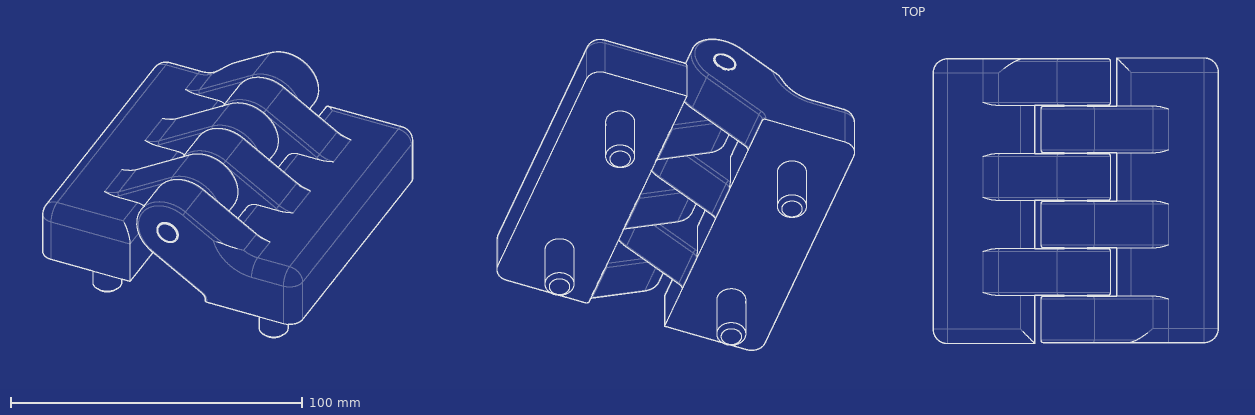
import cadquery as cq
import math

LEAF_LENGTH = 97.9
LEAF_OUTER_X = 49.0
LEAF_INNER_X = 14.0
LEAF_HEIGHT = 21.0
LEAF_ROUND = 5.0

KNUCKLES_PER_LEAF = 3
KNUCKLE_GAP = 0.3
BAY_LENGTH = LEAF_LENGTH / (2 * KNUCKLES_PER_LEAF)
KNUCKLE_LENGTH = BAY_LENGTH - KNUCKLE_GAP
KNUCKLE_RADIUS = 12.0
KNUCKLE_EDGE_ROUND = 1.0
AXIS_HEIGHT = 25.0

ARM_SLOPE = math.radians(32.0)
ARM_TOP_BLEND = 10.0
ARM_UNDER_BLEND = 2.5

PIN_LENGTH = LEAF_LENGTH - KNUCKLE_GAP
PIN_DIAMETER = 8.0
PIN_CHAMFER = 0.4

STUD_DIAMETER = 10.0
STUD_LENGTH = 20.0
STUD_CHAMFER = 1.5
STUD_X = 31.5
STUD_SPACING = 60.2

LEAF_MIDDLE_Y = KNUCKLE_GAP / 2
LEAF_START_Y = LEAF_MIDDLE_Y - LEAF_LENGTH / 2

SLOPE_SIN = math.sin(ARM_SLOPE)
SLOPE_COS = math.cos(ARM_SLOPE)
SLOPE_MEETS_TOP_X = (KNUCKLE_RADIUS + (AXIS_HEIGHT - LEAF_HEIGHT) * SLOPE_COS) / SLOPE_SIN
BLEND_CENTRE_X = SLOPE_MEETS_TOP_X + ARM_TOP_BLEND * math.tan(ARM_SLOPE / 2)
BLEND_CENTRE_Z = LEAF_HEIGHT + ARM_TOP_BLEND
UNDERSIDE_CORNER_Z = AXIS_HEIGHT - (KNUCKLE_RADIUS + LEAF_INNER_X * SLOPE_SIN) / SLOPE_COS


def box_between(x0, x1, y0, y1, z0, z1):
    return cq.Workplane("XY").box(x1 - x0, y1 - y0, z1 - z0, centered=False).translate((x0, y0, z0))


def make_plate():
    """Plate with rounded outer corners and top edges; its first corner is left free for the end arm."""
    plate = box_between(
        LEAF_INNER_X, LEAF_OUTER_X,
        LEAF_START_Y, LEAF_START_Y + LEAF_LENGTH,
        0, LEAF_HEIGHT,
    )
    plate = plate.edges("|Z and >X").fillet(LEAF_ROUND).faces(">Z").edges().fillet(LEAF_ROUND)
    corner_room = box_between(
        LEAF_INNER_X, LEAF_INNER_X + LEAF_ROUND,
        LEAF_START_Y, LEAF_START_Y + KNUCKLE_LENGTH / 2,
        0, LEAF_HEIGHT,
    )
    return plate.cut(corner_room)


def make_arm(start_y):
    """Knuckle with its sloping arm, running into the plate as far as the end of the top blend."""
    upper_tangent = (KNUCKLE_RADIUS * SLOPE_SIN, AXIS_HEIGHT + KNUCKLE_RADIUS * SLOPE_COS)
    lower_tangent = (-KNUCKLE_RADIUS * SLOPE_SIN, AXIS_HEIGHT - KNUCKLE_RADIUS * SLOPE_COS)
    knuckle_far_point = (-KNUCKLE_RADIUS * SLOPE_COS, AXIS_HEIGHT + KNUCKLE_RADIUS * SLOPE_SIN)
    blend_start = (BLEND_CENTRE_X - ARM_TOP_BLEND * SLOPE_SIN, BLEND_CENTRE_Z - ARM_TOP_BLEND * SLOPE_COS)
    blend_middle = (
        BLEND_CENTRE_X - ARM_TOP_BLEND * math.sin(ARM_SLOPE / 2),
        BLEND_CENTRE_Z - ARM_TOP_BLEND * math.cos(ARM_SLOPE / 2),
    )
    corner_turn = math.pi / 2 - ARM_SLOPE
    corner_tangent = ARM_UNDER_BLEND * math.tan(corner_turn / 2)
    under_centre = (LEAF_INNER_X - ARM_UNDER_BLEND, UNDERSIDE_CORNER_Z - corner_tangent)
    under_start = (
        LEAF_INNER_X - corner_tangent * SLOPE_COS,
        UNDERSIDE_CORNER_Z + corner_tangent * SLOPE_SIN,
    )
    under_middle = (
        under_centre[0] + ARM_UNDER_BLEND * math.cos(corner_turn / 2),
        under_centre[1] + ARM_UNDER_BLEND * math.sin(corner_turn / 2),
    )
    under_end = (LEAF_INNER_X, under_centre[1])
    arm = (
        cq.Workplane("XZ", origin=(0, start_y, 0))
        .moveTo(LEAF_INNER_X, 0)
        .lineTo(*under_end)
        .threePointArc(under_middle, under_start)
        .lineTo(*lower_tangent)
        .threePointArc(knuckle_far_point, upper_tangent)
        .lineTo(*blend_start)
        .threePointArc(blend_middle, (BLEND_CENTRE_X, LEAF_HEIGHT))
        .lineTo(BLEND_CENTRE_X, 0)
        .close()
        .extrude(-KNUCKLE_LENGTH)
    )
    outline_edges = arm.faces("|Y").edges("not (<Z or >X)")
    return outline_edges.fillet(KNUCKLE_EDGE_ROUND)


def make_end_arm_round():
    """Cutter that carries the plate's edge round along the top blend until it runs out on the slope."""
    outer_radius = ARM_TOP_BLEND + LEAF_ROUND
    diagonal = LEAF_ROUND * math.sqrt(0.5)
    inset_y = LEAF_START_Y + LEAF_ROUND
    return (
        cq.Workplane("XY", origin=(BLEND_CENTRE_X, 0, BLEND_CENTRE_Z))
        .moveTo(-outer_radius, LEAF_START_Y)
        .threePointArc((-outer_radius + diagonal, inset_y - diagonal), (-ARM_TOP_BLEND, inset_y))
        .lineTo(0, inset_y)
        .lineTo(0, LEAF_START_Y)
        .close()
        .revolve(90, (0, 0, 0), (0, -1, 0))
    )


def make_stud(y):
    return (
        cq.Workplane("XY", origin=(STUD_X, y, 0))
        .circle(STUD_DIAMETER / 2)
        .extrude(-STUD_LENGTH)
        .faces("<Z")
        .chamfer(STUD_CHAMFER)
    )


def make_leaf():
    """Right-hand leaf, whose first knuckle is flush with its -Y end."""
    leaf = make_plate()
    for index in range(KNUCKLES_PER_LEAF):
        arm = make_arm(LEAF_START_Y + 2 * index * BAY_LENGTH)
        if index == 0:
            arm = arm.cut(make_end_arm_round())
        leaf = leaf.union(arm)
    for side in (-1, 1):
        leaf = leaf.union(make_stud(LEAF_MIDDLE_Y + side * STUD_SPACING / 2))
    return leaf


def make_pin_rod():
    return (
        cq.Workplane("XZ", origin=(0, 0, AXIS_HEIGHT))
        .circle(PIN_DIAMETER / 2)
        .extrude(PIN_LENGTH / 2, both=True)
    )


right_leaf = make_leaf()
left_leaf = right_leaf.rotate((0, 0, 0), (0, 0, 1), 180)
pin_rod = make_pin_rod()
pin = pin_rod.faces("|Y").chamfer(PIN_CHAMFER)
result = right_leaf.union(left_leaf).cut(pin_rod).union(pin)